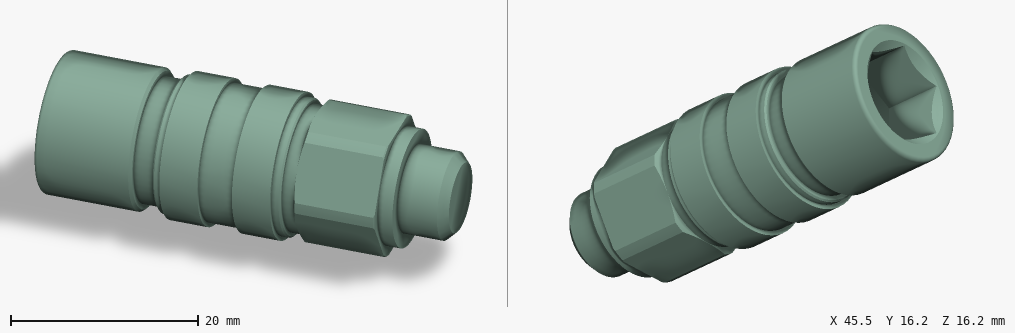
import cadquery as cq
import math

total_length = 45.5

head_diameter = 15.7
head_end = 11.0
head_front_round = 0.45
head_rear_chamfer = 0.3

front_neck_diameter = 13.9
sleeve_diameter = 15.2
sleeve_start = 13.35
sleeve_end = 27.75
sleeve_chamfer = 0.2
band_diameter = 16.2
band_width = 4.28
band_starts = (14.3, 22.48)
rear_neck_diameter = 14.0

nut_across_flats = 14.0
nut_corner_diameter = 15.45
nut_start = 29.07
nut_end = 38.4
nut_front_chamfer = 0.35
nut_rear_chamfer = 0.15

collar_diameter = 13.0
collar_end = 40.05
spigot_diameter = 9.75
spigot_chamfer = 1.0

socket_across_flats = 10.0
hexagon_depth = 7.05
mouth_diameter = 11.85
lead_in_depth = 0.8

relief_diameter = 12.0
relief_end = 11.85
recess_diameter = 9.1
recess_depth = 1.8


def cylinder(diameter, start, end):
    """Solid cylinder on the X axis between two stations."""
    return cq.Workplane("YZ", origin=(start, 0, 0)).circle(diameter / 2).extrude(end - start)


def cone(start_diameter, end_diameter, start, end):
    """Solid truncated cone on the X axis."""
    return (
        cq.Workplane("XY")
        .moveTo(start, 0)
        .lineTo(start, start_diameter / 2)
        .lineTo(end, end_diameter / 2)
        .lineTo(end, 0)
        .close()
        .revolve(360, (0, 0, 0), (1, 0, 0))
    )


def hexagon(across_flats, start, end, turn):
    """Hexagonal prism on the X axis; turn 0 puts corners on the Y axis."""
    across_corners = across_flats / math.cos(math.radians(30))
    prism = cq.Workplane("YZ").polygon(6, across_corners).extrude(end - start)
    return prism.rotate((0, 0, 0), (1, 0, 0), turn).translate((start, 0, 0))


def make_head():
    head = cylinder(head_diameter, 0, head_end)
    head = head.faces("<X").edges().fillet(head_front_round)
    return head.faces(">X").edges().chamfer(head_rear_chamfer)


def make_sleeve():
    sleeve = cylinder(sleeve_diameter, sleeve_start, sleeve_end)
    sleeve = sleeve.faces("<X or >X").edges().chamfer(sleeve_chamfer)
    for start in band_starts:
        sleeve = sleeve.union(cylinder(band_diameter, start, start + band_width))
    return sleeve


def make_nut():
    blank = cylinder(nut_corner_diameter, nut_start, nut_end)
    front_radial = (nut_corner_diameter - nut_across_flats) / 2
    blank = blank.faces("<X").edges().chamfer(nut_front_chamfer, front_radial)
    blank = blank.faces(">X").edges().chamfer(nut_rear_chamfer)
    return blank.intersect(hexagon(nut_across_flats, nut_start, nut_end, 0))


def make_spigot():
    spigot = cylinder(spigot_diameter, collar_end, total_length)
    return spigot.faces(">X").edges().chamfer(spigot_chamfer)


def make_socket():
    hexagonal_hole = hexagon(socket_across_flats, 0, hexagon_depth, 90)
    lead_in = cone(mouth_diameter, socket_across_flats, 0, lead_in_depth)
    relief = cylinder(relief_diameter, hexagon_depth, relief_end)
    recess = cylinder(recess_diameter, relief_end, relief_end + recess_depth)
    return hexagonal_hole.union(lead_in).union(relief).union(recess)


result = (
    make_head()
    .union(cylinder(front_neck_diameter, head_end, sleeve_start))
    .union(make_sleeve())
    .union(cylinder(rear_neck_diameter, sleeve_end, nut_start))
    .union(make_nut())
    .union(cylinder(collar_diameter, nut_end, collar_end))
    .union(make_spigot())
    .cut(make_socket())
)